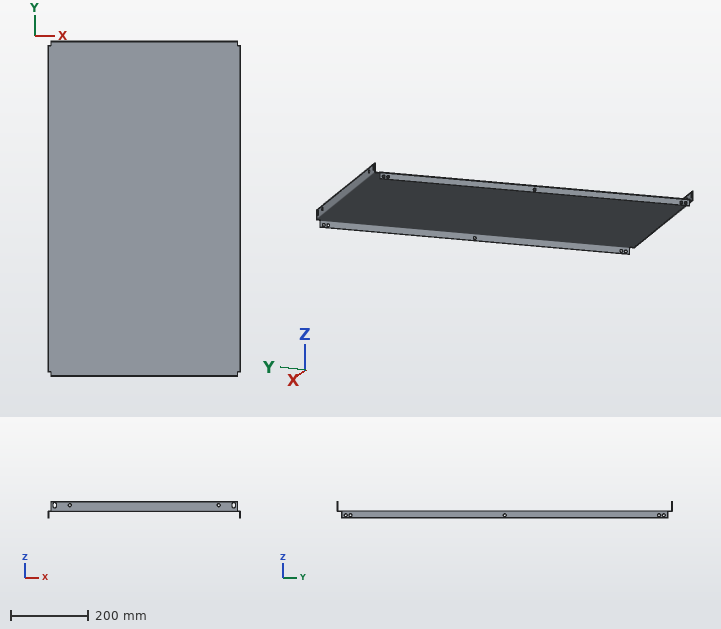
import cadquery as cq

length = 869.0
width = 498.0
height = 43.0
sheet = 2.0
bend_radius = 1.0

end_flange_inset = 7.4
end_flange_width = width - 2 * end_flange_inset
end_flange_height = 26.0
side_flange_inset = 12.0
side_flange_length = length - 2 * side_flange_inset
side_flange_height = height - end_flange_height + sheet

hole_diameter = 7.4

end_hole_z = 16.5
end_hole_x = 193.0
slot_width = 9.0
slot_height = 14.0
slot_edge_distance = 9.5
slot_x = end_flange_width / 2 - slot_edge_distance

side_hole_z = -9.5
side_hole_outer_y = 412.0
side_hole_pitch = 12.0
side_hole_inner_y = side_hole_outer_y - side_hole_pitch


def bent_channel(span, flange_height, depth):
    """U channel with rounded bends: web underside at Z = 0, flanges up at both ends of X, `depth` along Y."""
    outer = (
        cq.Workplane("XY")
        .box(span, depth, flange_height, centered=(True, True, False))
        .edges("|Y and <Z")
        .fillet(bend_radius + sheet)
    )
    cavity = (
        cq.Workplane("XY", origin=(0, 0, sheet))
        .box(span - 2 * sheet, depth, flange_height, centered=(True, True, False))
        .edges("|Y and <Z")
        .fillet(bend_radius)
    )
    return outer.cut(cavity)


def folded_panel():
    """An upward channel along Y and a downward channel along X that share one flat panel."""
    upward = bent_channel(length, end_flange_height, end_flange_width)
    upward = upward.rotate((0, 0, 0), (0, 0, 1), 90)
    downward = bent_channel(width, side_flange_height, side_flange_length)
    downward = downward.rotate((0, 0, 0), (0, 1, 0), 180).translate((0, 0, sheet))
    return upward.union(downward)


def mirrored(offset):
    """Both positions at the given distance from the centre."""
    return [-offset, offset]


def end_flange_cutters():
    """Round holes and slots running along Y through both end flanges."""
    holes = (
        cq.Workplane("XZ")
        .pushPoints([(x, end_hole_z) for x in mirrored(end_hole_x)])
        .circle(hole_diameter / 2)
        .extrude(length, both=True)
    )
    slots = (
        cq.Workplane("XZ")
        .pushPoints([(x, end_hole_z) for x in mirrored(slot_x)])
        .slot2D(slot_height, slot_width, 90)
        .extrude(length, both=True)
    )
    return holes.union(slots)


def side_flange_cutters():
    """Round holes running along X through both side flanges."""
    hole_ys = [0] + mirrored(side_hole_outer_y) + mirrored(side_hole_inner_y)
    return (
        cq.Workplane("YZ")
        .pushPoints([(y, side_hole_z) for y in hole_ys])
        .circle(hole_diameter / 2)
        .extrude(width, both=True)
    )


result = folded_panel().cut(end_flange_cutters()).cut(side_flange_cutters())